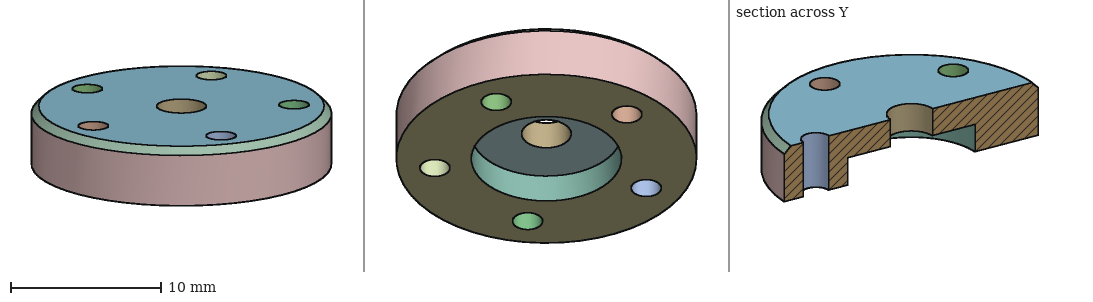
import cadquery as cq
import math

disc_diameter = 20.0
disc_thickness = 4.0
rim_chamfer = 0.5
bore_diameter = 3.3
recess_diameter = 10.0
recess_depth = disc_thickness / 2
bolt_hole_diameter = 2.0
bolt_circle_radius = 7.5
bolt_hole_count = 5


def make_disc():
    """Round disc resting on Z = 0 with a chamfered upper rim."""
    disc = cq.Workplane("XY").circle(disc_diameter / 2).extrude(disc_thickness)
    return disc.faces(">Z").edges().chamfer(rim_chamfer)


def cut_bore(body):
    """Central through bore."""
    return body.faces(">Z").workplane().hole(bore_diameter)


def cut_underside_recess(body):
    """Round recess in the underside, concentric with the bore and inside the bolt circle."""
    recess = cq.Workplane("XY").circle(recess_diameter / 2).extrude(recess_depth)
    return body.cut(recess)


def bolt_hole_centers():
    """Points evenly spaced on the bolt circle, the first one on the +X axis."""
    angles = [2 * math.pi * i / bolt_hole_count for i in range(bolt_hole_count)]
    return [(bolt_circle_radius * math.cos(a), bolt_circle_radius * math.sin(a)) for a in angles]


def cut_bolt_holes(body):
    """Through holes on the bolt circle."""
    return body.faces(">Z").workplane().pushPoints(bolt_hole_centers()).hole(bolt_hole_diameter)


disc = make_disc()
bored_disc = cut_bore(disc)
recessed_disc = cut_underside_recess(bored_disc)
result = cut_bolt_holes(recessed_disc)